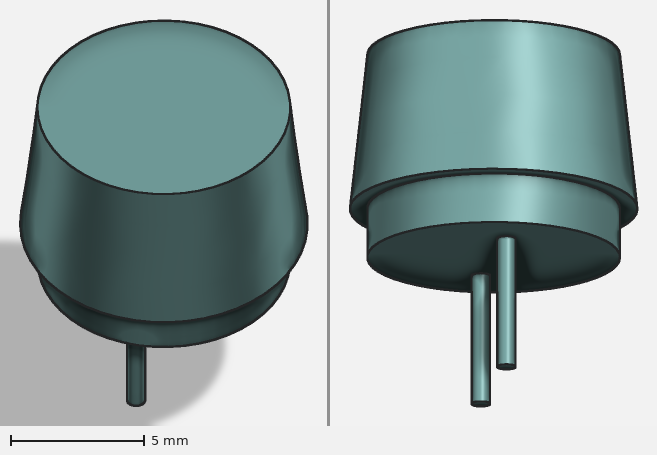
import cadquery as cq

total_height = 12.9
cap_height = 6.0
base_height = 1.9
cap_bottom_diameter = 10.8
body_diameter = 9.5
pin_diameter = 0.7
pin_spacing = 5.08

pin_length = total_height - cap_height - base_height
cap_top = base_height + cap_height


def make_body():
    """Revolve a cylindrical base carrying a wider, upward-tapering cap."""
    body_radius = body_diameter / 2
    return (
        cq.Workplane("XZ")
        .moveTo(0, 0)
        .lineTo(body_radius, 0)
        .lineTo(body_radius, base_height)
        .lineTo(cap_bottom_diameter / 2, base_height)
        .lineTo(body_radius, cap_top)
        .lineTo(0, cap_top)
        .close()
        .revolve(360, (0, 0, 0), (0, 1, 0))
    )


def make_pins():
    """Two round pins hanging from the base, spaced along Y."""
    return (
        cq.Workplane("XY")
        .pushPoints([(0, side * pin_spacing / 2) for side in (-1, 1)])
        .circle(pin_diameter / 2)
        .extrude(-pin_length)
    )


result = make_body().union(make_pins())